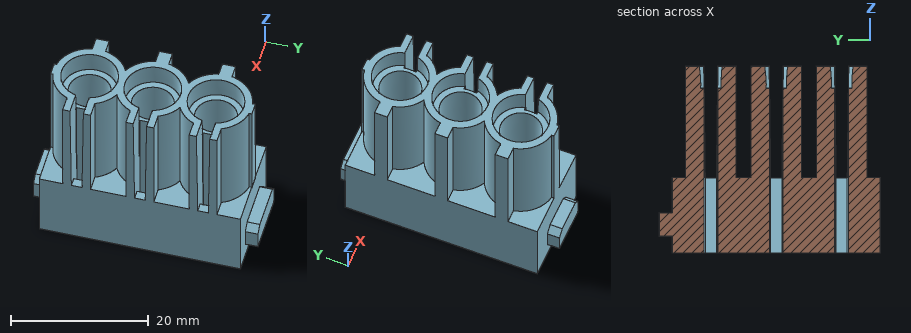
import cadquery as cq

BASE_X = 14.6
BASE_Y = 30.28
HEIGHT = 27.2
DECK_EDGE_Z = 10.95
DECK_RIDGE_Z = 11.1

PITCH = 9.5
SOCKETS_Y = [i * PITCH for i in (-1, 0, 1)]

TOWER_RADIUS = 5.35
RIB_WIDTH = 2.0
RIB_STEP = 0.05
FRONT_RIB_END_Y = -BASE_Y / 2
BACK_RIB_END_Y = BASE_Y / 2 + RIB_STEP
CHANNEL_WALL = 1.1

BORE_TOP_RADIUS = 4.2
BORE_FLOOR_RADIUS = 4.13
BORE_DEPTH = 3.2
HOLE_TOP_RADIUS = 3.15
HOLE_BOTTOM_RADIUS = 2.8
LEDGE_Z = HEIGHT - BORE_DEPTH

CHANNEL_TOP_WIDTH = 2.0
CHANNEL_FLOOR_WIDTH = 1.6
LEDGE_NOTCH_WIDTH = 1.95
KEYWAY_START_X = 3.65
LEDGE_NOTCH_END_X = 4.1
KEYWAY_END_X = 5.95

OVERALL_Y = 34.1
TAB_LENGTH = (OVERALL_Y - BASE_Y) / 2
TAB_Z = 2.45
TAB_HEIGHT = 3.8
TAB_CHAMFER = 1.02
FRONT_TAB_WIDTH = 7.0
BACK_TAB_WIDTH = 9.1


def box(x_range, y_range, z_range):
    """Axis-aligned box between the given limits."""
    sizes = [high - low for low, high in (x_range, y_range, z_range)]
    corner = (x_range[0], y_range[0], z_range[0])
    return cq.Workplane("XY").box(*sizes, centered=False).translate(corner)


def base():
    """Block whose deck slopes down from the middle to both long sides."""
    profile = [
        (-BASE_X / 2, 0),
        (BASE_X / 2, 0),
        (BASE_X / 2, DECK_EDGE_Z),
        (0, DECK_RIDGE_Z),
        (-BASE_X / 2, DECK_EDGE_Z),
    ]
    return cq.Workplane("XZ").polyline(profile).close().extrude(BASE_Y / 2, both=True)


def tower(y):
    """Round tower with a rib to the -X side and a wide channel block to the +X side."""
    channel_half = CHANNEL_TOP_WIDTH / 2 + CHANNEL_WALL
    z_range = (0, HEIGHT)
    barrel = (
        cq.Workplane("XY", origin=(0, y, DECK_EDGE_Z))
        .circle(TOWER_RADIUS)
        .extrude(HEIGHT - DECK_EDGE_Z)
    )
    rib = box((-BASE_X / 2, 0), (y - RIB_WIDTH / 2, y + RIB_WIDTH / 2), z_range)
    channel_block = box((0, BASE_X / 2), (y - channel_half, y + channel_half), z_range)
    return barrel.union(rib).union(channel_block)


def end_rib(socket_y, end_y):
    """Rib from the axis of an end socket out to end_y."""
    y_range = sorted((socket_y, end_y))
    return box((-RIB_WIDTH / 2, RIB_WIDTH / 2), y_range, (DECK_EDGE_Z, HEIGHT))


def cone(y, bottom_z, bottom_radius, top_z, top_radius):
    """Upright cone frustum on a socket axis."""
    height = top_z - bottom_z
    base_centre = cq.Vector(0, y, bottom_z)
    return cq.Workplane(cq.Solid.makeCone(bottom_radius, top_radius, height, base_centre))


def channel(y):
    """Channel open to the top and the +X side, its walls drawing in towards the floor."""
    profile = [
        (y - CHANNEL_FLOOR_WIDTH / 2, DECK_EDGE_Z),
        (y + CHANNEL_FLOOR_WIDTH / 2, DECK_EDGE_Z),
        (y + CHANNEL_TOP_WIDTH / 2, HEIGHT),
        (y - CHANNEL_TOP_WIDTH / 2, HEIGHT),
    ]
    start = cq.Workplane("YZ", origin=(KEYWAY_START_X, 0, 0))
    return start.polyline(profile).close().extrude(BASE_X / 2 - KEYWAY_START_X)


def cut_socket(body, y):
    """Cut the bore, the tapered through hole and the keyway of one socket."""
    notch_half = LEDGE_NOTCH_WIDTH / 2
    floor_half = CHANNEL_FLOOR_WIDTH / 2
    bore = cone(y, LEDGE_Z, BORE_FLOOR_RADIUS, HEIGHT, BORE_TOP_RADIUS)
    hole = cone(y, 0, HOLE_BOTTOM_RADIUS, LEDGE_Z, HOLE_TOP_RADIUS)
    notch = box((KEYWAY_START_X, LEDGE_NOTCH_END_X), (y - notch_half, y + notch_half), (0, LEDGE_Z))
    floor_slot = box((KEYWAY_START_X, KEYWAY_END_X), (y - floor_half, y + floor_half), (0, LEDGE_Z))
    return body.cut(bore).cut(hole).cut(channel(y)).cut(notch).cut(floor_slot)


def tab(width, y_start):
    """End tab with its two upper corners chamfered."""
    return (
        box((-width / 2, width / 2), (y_start, y_start + TAB_LENGTH), (TAB_Z, TAB_Z + TAB_HEIGHT))
        .edges("|Y and >Z")
        .chamfer(TAB_CHAMFER)
    )


result = base()
for socket_y in SOCKETS_Y:
    result = result.union(tower(socket_y))
result = result.union(end_rib(SOCKETS_Y[0], FRONT_RIB_END_Y))
result = result.union(end_rib(SOCKETS_Y[-1], BACK_RIB_END_Y))
for socket_y in SOCKETS_Y:
    result = cut_socket(result, socket_y)
result = result.union(tab(FRONT_TAB_WIDTH, -BASE_Y / 2 - TAB_LENGTH))
result = result.union(tab(BACK_TAB_WIDTH, BASE_Y / 2))